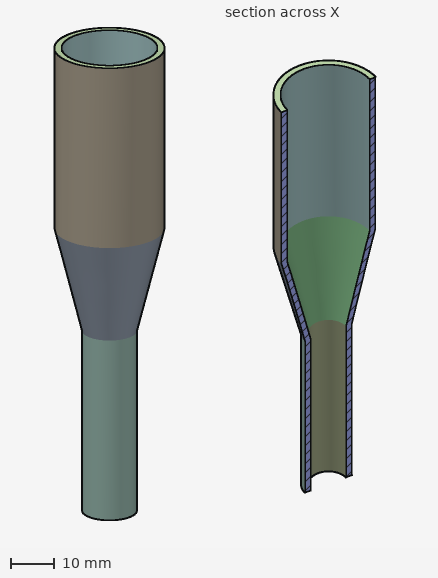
import cadquery as cq

total_length = 114.3
wide_outer_diameter = 25.4
wide_bore_diameter = 22.1
narrow_outer_diameter = 12.7
narrow_bore_diameter = 9.4
taper_length = 25.4

straight_length = (total_length - taper_length) / 2
taper_bottom = straight_length
taper_top = straight_length + taper_length


def stepped_body(narrow_diameter, wide_diameter):
    """Solid of revolution: narrow cylinder, cone, then wide cylinder."""
    narrow_radius = narrow_diameter / 2
    wide_radius = wide_diameter / 2
    half_profile = [
        (0, 0),
        (narrow_radius, 0),
        (narrow_radius, taper_bottom),
        (wide_radius, taper_top),
        (wide_radius, total_length),
        (0, total_length),
    ]
    return cq.Workplane("XZ").polyline(half_profile).close().revolve(360, (0, 0, 0), (0, 1, 0))


outside = stepped_body(narrow_outer_diameter, wide_outer_diameter)
bore = stepped_body(narrow_bore_diameter, wide_bore_diameter)

result = outside.cut(bore)